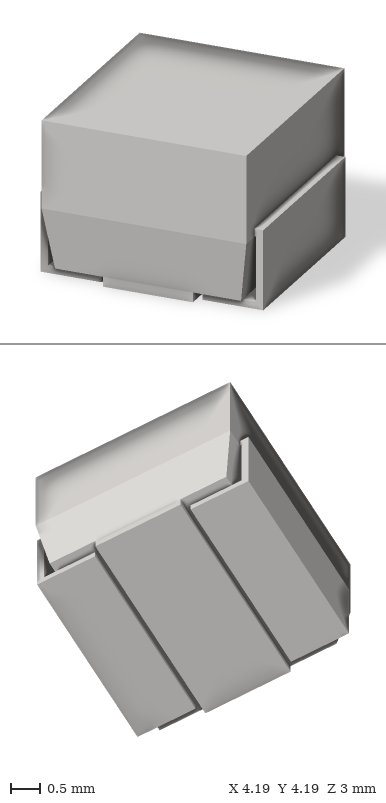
import cadquery as cq

body_length_x = 3.855
body_width_y = 4.19
top_height = 3.0
shoulder_height = 1.35
underside_height = 0.185
taper_inset = 0.175
pad_length_x = 1.69

terminal_span_x = 4.19
terminal_width_y = 3.503
terminal_height = 1.5
strip_thickness = 0.14
foot_length = 1.15

underside_length_x = body_length_x - 2 * taper_inset
underside_width_y = body_width_y - 2 * taper_inset


def make_body():
    block = (
        cq.Workplane("XY")
        .workplane(offset=shoulder_height)
        .rect(body_length_x, body_width_y)
        .extrude(top_height - shoulder_height)
    )
    tapered_base = (
        cq.Workplane("XY")
        .workplane(offset=underside_height)
        .rect(underside_length_x, underside_width_y)
        .workplane(offset=shoulder_height - underside_height)
        .rect(body_length_x, body_width_y)
        .loft(ruled=True)
    )
    pad = (
        cq.Workplane("XY")
        .rect(pad_length_x, underside_width_y)
        .extrude(underside_height)
    )
    return block.union(tapered_base).union(pad)


def make_terminal(side):
    """Terminal on the -X side (side = -1) or the +X side (side = 1)."""
    outer_x = side * terminal_span_x / 2
    inner_x = outer_x - side * strip_thickness
    foot_end_x = outer_x - side * foot_length
    lip_end_x = side * body_length_x / 2
    lip_underside = terminal_height - strip_thickness
    return (
        cq.Workplane("XZ")
        .moveTo(foot_end_x, 0)
        .lineTo(outer_x, 0)
        .lineTo(outer_x, terminal_height)
        .lineTo(lip_end_x, terminal_height)
        .lineTo(lip_end_x, lip_underside)
        .lineTo(inner_x, lip_underside)
        .lineTo(inner_x, strip_thickness)
        .lineTo(foot_end_x, strip_thickness)
        .close()
        .extrude(terminal_width_y / 2, both=True)
    )


body = make_body()
terminals = [make_terminal(side) for side in (-1, 1)]

result = cq.Compound.makeCompound([body.val(), *[terminal.val() for terminal in terminals]])